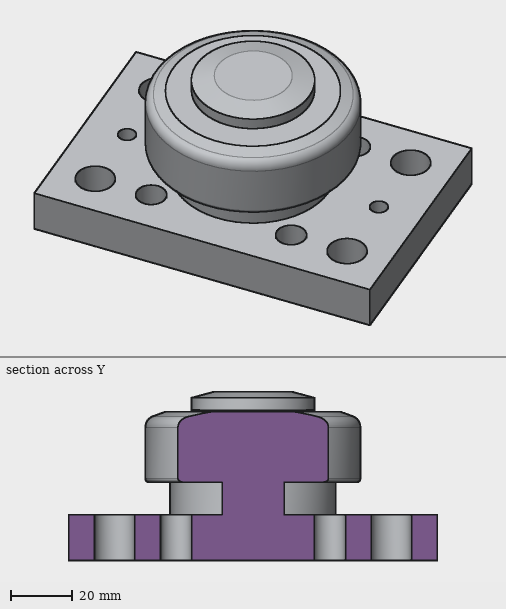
import cadquery as cq
import math

plate_length = 120.0
plate_width = 80.0
plate_thickness = 15.0

mounting_hole_diameter = 13.0
mounting_hole_spacing_x = 90.0
hole_row_spacing_y = 50.0
inner_hole_diameter = 10.11
inner_hole_spacing_x = 50.0
pin_hole_diameter = 6.0

neck_diameter = 54.0

roller_diameter = 70.1
roller_bottom = 25.5
roller_top = 48.5
roller_rim_radius = 1.25
roller_flat_diameter = 57.0
roller_cone_diameter = 65.0
roller_cone_angle = 20.0

spacer_diameter = 34.84
cap_gap = 0.5

cap_diameter = 40.16
cap_flat_diameter = 25.4
cap_edge_height = 53.0
overall_height = 55.0


def plate():
    body = cq.Workplane("XY").box(plate_length, plate_width, plate_thickness, centered=(True, True, False))
    row_holes = (
        (mounting_hole_diameter, mounting_hole_spacing_x),
        (inner_hole_diameter, inner_hole_spacing_x),
    )
    for diameter, spacing_x in row_holes:
        body = body.faces(">Z").workplane().rarray(spacing_x, hole_row_spacing_y, 2, 2).hole(diameter)
    return body.faces(">Z").workplane().rarray(mounting_hole_spacing_x, 1, 2, 1).hole(pin_hole_diameter)


def roller_assembly():
    """Neck, roller, spacer and cap turned from one half profile about the Z axis."""
    neck_radius = neck_diameter / 2
    roller_radius = roller_diameter / 2
    rim_top = roller_bottom + roller_rim_radius
    cap_bottom = roller_top + cap_gap

    cone_slope = math.radians(roller_cone_angle)
    cone_radius = roller_cone_diameter / 2
    cone_width = cone_radius - roller_flat_diameter / 2
    cone_bottom = roller_top - cone_width * math.tan(cone_slope)
    chord_lean = (math.pi / 2 - cone_slope) / 2
    shoulder_bottom = cone_bottom - (roller_radius - cone_radius) / math.tan(chord_lean)

    return (
        cq.Workplane("XZ")
        .moveTo(0, plate_thickness)
        .lineTo(neck_radius, plate_thickness)
        .lineTo(neck_radius, roller_bottom)
        .lineTo(roller_radius - roller_rim_radius, roller_bottom)
        .tangentArcPoint((roller_radius, rim_top), relative=False)
        .lineTo(roller_radius, shoulder_bottom)
        .tangentArcPoint((cone_radius, cone_bottom), relative=False)
        .lineTo(roller_flat_diameter / 2, roller_top)
        .lineTo(spacer_diameter / 2, roller_top)
        .lineTo(spacer_diameter / 2, cap_bottom)
        .lineTo(cap_diameter / 2, cap_bottom)
        .lineTo(cap_diameter / 2, cap_edge_height)
        .lineTo(cap_flat_diameter / 2, overall_height)
        .lineTo(0, overall_height)
        .close()
        .revolve(360, (0, 0, 0), (0, 1, 0))
    )


result = plate().union(roller_assembly())